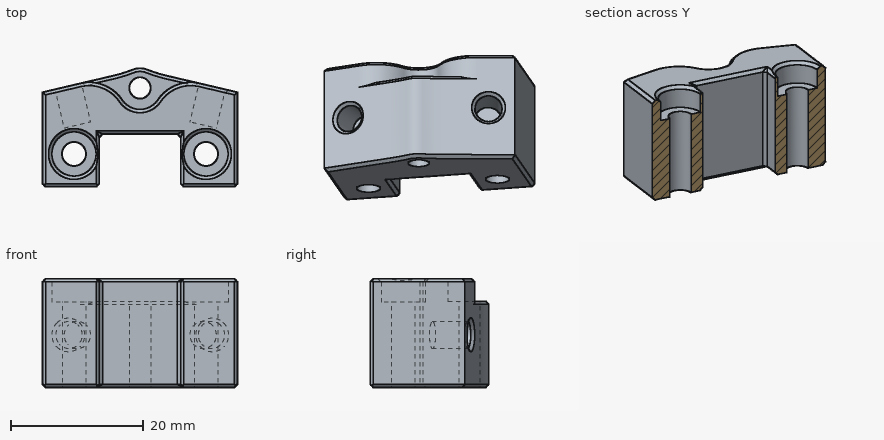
import math

import cadquery as cq

width = 29.6
height = 16.5
side_depth = 14.35
slope_angle = 13.2
edge_chamfer = 0.5

channel_width = 12.3
channel_depth = 8.0

pin_y = 15.0
pin_diameter = 3.2
boss_radius = 3.0
boss_blend_radius = 20.0
boss_top = 13.1

relief_radius = 3.25
relief_blend_radius = 6.0

screw_x = 10.0
screw_y = 5.0
screw_diameter = 3.6
screw_head_diameter = 6.7
screw_head_depth = 3.5

back_hole_x = 10.9
back_hole_z = 8.0
back_hole_diameter = 4.1
back_hole_depth = 6.0

half_width = width / 2
half_channel = channel_width / 2
slope = math.radians(slope_angle)
normal_x = math.sin(slope)
normal_y = math.cos(slope)


def back_face_y(x):
    """Y of the right-hand back face at a given X."""
    return side_depth + (half_width - x) * math.tan(slope)


def blend_points(arc_radius, blend_radius, side):
    """Tangent points of a blend between an arc about the pin and the right-hand back face.

    side is +1 for a blend centred outside the part and -1 for one centred inside it.
    Returns the point on the pin arc, the middle of the blend and the point on the back face.
    """
    face_distance = (back_face_y(0) - pin_y) * normal_y
    across = face_distance + side * blend_radius
    along = math.sqrt((arc_radius + blend_radius) ** 2 - across ** 2)
    centre_x = along * normal_y + across * normal_x
    centre_y = pin_y - along * normal_x + across * normal_y

    share = arc_radius / (arc_radius + blend_radius)
    on_arc = (centre_x * share, pin_y + (centre_y - pin_y) * share)
    on_face = (centre_x - side * blend_radius * normal_x, centre_y - side * blend_radius * normal_y)

    mid_x = (on_arc[0] + on_face[0]) / 2 - centre_x
    mid_y = (on_arc[1] + on_face[1]) / 2 - centre_y
    stretch = blend_radius / math.hypot(mid_x, mid_y)
    on_blend = (centre_x + mid_x * stretch, centre_y + mid_y * stretch)
    return on_arc, on_blend, on_face


def mirrored(point):
    return (-point[0], point[1])


def block(top, arc_radius, blend_radius, side):
    """U-shaped block with a curved back, chamfered along its top, bottom and leg edges.

    side is +1 when the back bulges out around the pin and -1 when it curves in.
    """
    on_arc, on_blend, on_face = blend_points(arc_radius, blend_radius, side)
    body = (
        cq.Workplane("XY")
        .moveTo(half_channel, 0)
        .lineTo(half_width, 0)
        .lineTo(half_width, side_depth)
        .lineTo(*on_face)
        .threePointArc(on_blend, on_arc)
        .threePointArc((0, pin_y + side * arc_radius), mirrored(on_arc))
        .threePointArc(mirrored(on_blend), mirrored(on_face))
        .lineTo(-half_width, side_depth)
        .lineTo(-half_width, 0)
        .lineTo(-half_channel, 0)
        .lineTo(-half_channel, channel_depth)
        .lineTo(half_channel, channel_depth)
        .lineTo(half_channel, 0)
        .close()
        .extrude(top)
    )
    body = body.faces("<Z or >Z").edges().chamfer(edge_chamfer)
    return body.edges("|Z and <Y").chamfer(edge_chamfer)


def corner_web(side):
    """Web across an inner corner of the channel, with sloped ends that meet the rim chamfers in a point."""
    tip = (side * (half_channel + edge_chamfer), channel_depth + edge_chamfer)
    footprint = [
        (side * half_channel, channel_depth - edge_chamfer),
        (side * (half_channel - edge_chamfer), channel_depth),
        tip,
    ]
    reach = 1.5 * math.hypot(edge_chamfer, edge_chamfer)
    diagonal = cq.Plane(origin=(*tip, 0), xDir=(-side, -1, 0), normal=(-1, side, 0))
    profile = [(0, 0), (reach, edge_chamfer), (reach, height - edge_chamfer), (0, height)]
    sloped = cq.Workplane(diagonal).polyline(profile).close().extrude(edge_chamfer, both=True)
    return cq.Workplane("XY").polyline(footprint).close().extrude(height).intersect(sloped)


def pin_hole():
    return cq.Workplane("XY").center(0, pin_y).circle(pin_diameter / 2).extrude(height)


def countersink(plane, hole_diameter):
    """Cone that chamfers the mouth of a hole entering along the plane's -Z direction."""
    mouth_radius = hole_diameter / 2 + edge_chamfer
    return cq.Workplane(plane).circle(mouth_radius).extrude(-edge_chamfer, taper=45)


def screw_hole(side):
    mouth = cq.Plane(origin=(side * screw_x, screw_y, height))
    shank = cq.Workplane(mouth).circle(screw_diameter / 2).extrude(-height)
    head = cq.Workplane(mouth).circle(screw_head_diameter / 2).extrude(-screw_head_depth)
    return shank.union(head).union(countersink(mouth, screw_head_diameter))


def back_hole(side):
    mouth = cq.Plane(
        origin=(side * back_hole_x, back_face_y(back_hole_x), back_hole_z),
        xDir=(0, 0, 1),
        normal=(side * normal_x, normal_y, 0),
    )
    bore = cq.Workplane(mouth).circle(back_hole_diameter / 2).extrude(-back_hole_depth)
    return bore.union(countersink(mouth, back_hole_diameter))


result = block(height, relief_radius, relief_blend_radius, -1)
result = result.union(block(boss_top, boss_radius, boss_blend_radius, 1))
result = result.cut(pin_hole())
for leg in (-1, 1):
    result = result.union(corner_web(leg))
    result = result.cut(screw_hole(leg))
    result = result.cut(back_hole(leg))